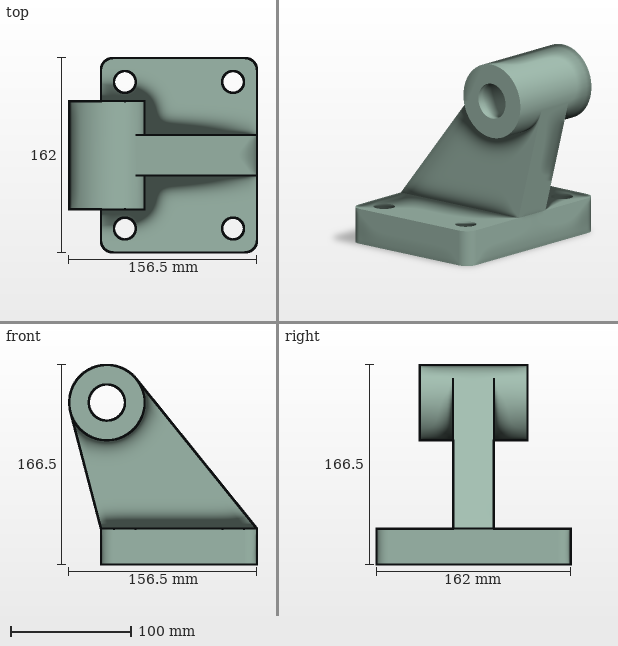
import cadquery as cq
import math

base_length = 130.0
base_width = 162.0
base_thickness = 30.0
corner_radius = 10.0

hole_diameter = 18.0
hole_spacing_x = 90.0
hole_spacing_y = 122.0

total_height = 166.5
boss_radius = 31.5
boss_length = 90.0
bore_diameter = 30.0
boss_inset = 5.0
boss_x = -base_length / 2 + boss_inset
boss_z = total_height - boss_radius

web_thickness = 34.0


def tangent_point(x, z, side):
    """Point where a line from (x, z) touches the boss; side is +1 or -1 around its axis."""
    dx = x - boss_x
    dz = z - boss_z
    angle = math.atan2(dz, dx) + side * math.acos(boss_radius / math.hypot(dx, dz))
    return boss_x + boss_radius * math.cos(angle), boss_z + boss_radius * math.sin(angle)


def y_cylinder(radius, length):
    """Cylinder on the boss axis, centred in Y."""
    return (
        cq.Workplane("XZ")
        .center(boss_x, boss_z)
        .circle(radius)
        .extrude(length / 2, both=True)
    )


def make_base():
    return (
        cq.Workplane("XY")
        .rect(base_length, base_width)
        .extrude(base_thickness)
        .edges("|Z")
        .fillet(corner_radius)
        .faces(">Z")
        .workplane()
        .rect(hole_spacing_x, hole_spacing_y, forConstruction=True)
        .vertices()
        .hole(hole_diameter)
    )


def make_web():
    """Web whose sloping sides run from the base edges tangent to the boss."""
    left_foot = (-base_length / 2, base_thickness)
    right_foot = (base_length / 2, base_thickness)
    outline = [
        left_foot,
        right_foot,
        tangent_point(*right_foot, 1),
        (boss_x, boss_z),
        tangent_point(*left_foot, -1),
    ]
    return cq.Workplane("XZ").polyline(outline).close().extrude(web_thickness / 2, both=True)


boss = y_cylinder(boss_radius, boss_length)
bore = y_cylinder(bore_diameter / 2, boss_length)

result = make_base().union(make_web()).union(boss).cut(bore)